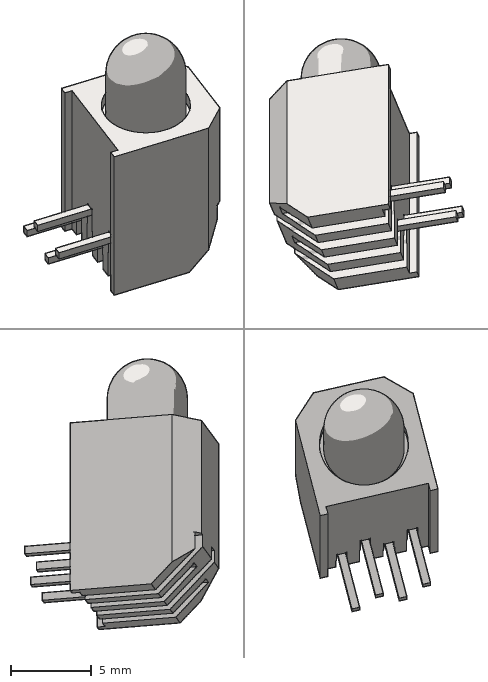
import cadquery as cq

overall_height = 16.0

lens_radius = 2.5
lens_gap = 0.25
lens_gap_depth = 0.8

housing_width = 7.5
housing_height = 11.0
back_y = 4.0
rail_front_y = -4.0
rail_size = 0.5
corner_chamfer = 1.5
heel_chamfer = 2.83

pin_size = 0.5
pin_count = 4
pin_pitch = 1.5
pin_tip_y = -7.2
low_pin_top = 2.1
high_pin_top = 3.6
slot_clearance = 0.08
slot_flare = 0.05
slot_flare_height = 0.25
low_flare_top = 1.25
high_flare_top = 2.11

front_y = rail_front_y + rail_size
half_width = housing_width / 2


def make_housing():
    """Block with chamfered back corners, two front rails and a sloping heel."""
    block = (
        cq.Workplane("XY")
        .box(housing_width, back_y - front_y, housing_height, centered=(True, False, False))
        .translate((0, front_y, 0))
        .edges("|Z and >Y")
        .chamfer(corner_chamfer)
    )
    rail_length = back_y - corner_chamfer - rail_front_y
    for side in (-1, 1):
        rail_x = side * (half_width - rail_size / 2)
        rail = (
            cq.Workplane("XY")
            .box(rail_size, rail_length, housing_height, centered=(True, False, False))
            .translate((rail_x, rail_front_y, 0))
        )
        block = block.union(rail)
    heel = (
        cq.Workplane("YZ")
        .polyline([(back_y, 0), (back_y - heel_chamfer, 0), (back_y, heel_chamfer)])
        .close()
        .extrude(half_width, both=True)
    )
    return block.cut(heel)


def make_lens_gap():
    """Ring-shaped groove around the foot of the lens."""
    return (
        cq.Workplane("XY", origin=(0, 0, housing_height))
        .circle(lens_radius + lens_gap)
        .circle(lens_radius)
        .extrude(-lens_gap_depth)
    )


def make_lens():
    """Upright cylinder with a hemispherical top, rising from the floor of the groove."""
    dome_base = overall_height - lens_radius
    return (
        cq.Workplane("XZ")
        .moveTo(0, housing_height - lens_gap_depth)
        .lineTo(lens_radius, housing_height - lens_gap_depth)
        .lineTo(lens_radius, dome_base)
        .radiusArc((0, overall_height), -lens_radius)
        .close()
        .revolve(360, (0, 0, 0), (0, 1, 0))
    )


def make_slot(x, top, flare_top):
    """Slot through the housing from front to back, slightly wider at its open end."""
    upper_half = pin_size / 2 + slot_clearance
    lower_half = upper_half + slot_flare
    flare_bottom = flare_top - slot_flare_height
    return (
        cq.Workplane("XZ", origin=(x, back_y, 0))
        .polyline([
            (-lower_half, 0),
            (-lower_half, flare_bottom),
            (-upper_half, flare_top),
            (-upper_half, top),
            (upper_half, top),
            (upper_half, flare_top),
            (lower_half, flare_bottom),
            (lower_half, 0),
        ])
        .close()
        .extrude(back_y - front_y)
    )


def make_pin(x, top):
    """Straight square pin running from below the lens axis out of the front."""
    return (
        cq.Workplane("XY")
        .box(pin_size, -pin_tip_y, pin_size, centered=(True, False, False))
        .translate((x, pin_tip_y, top - pin_size))
    )


result = make_housing().cut(make_lens_gap()).union(make_lens())

for index in range(pin_count):
    pin_x = (index - (pin_count - 1) / 2) * pin_pitch
    is_low = index % 2 == 0
    pin_top = low_pin_top if is_low else high_pin_top
    flare_top = low_flare_top if is_low else high_flare_top
    result = result.cut(make_slot(pin_x, pin_top, flare_top)).union(make_pin(pin_x, pin_top))